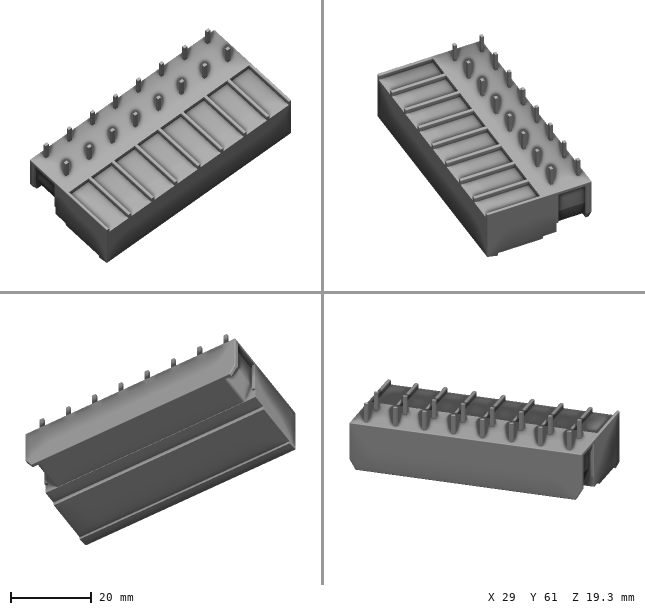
import cadquery as cq
import math

POLE_COUNT = 8
POLE_PITCH = 7.62
LENGTH = POLE_COUNT * POLE_PITCH
DEPTH = 29.0
TOTAL_HEIGHT = 19.29
PIN_LENGTH = 5.0
TOP_Z = TOTAL_HEIGHT - PIN_LENGTH
EDGE_RADIUS = 0.2

PIN_SIDE_BOTTOM_Z = 1.75
MIDDLE_BOTTOM_Z = 1.6
FOOT_BOTTOM_Z = 0.8
FOOT_START_X = 13.4
FOOT_RAMP = 0.3
HOOK_X = 26.0
HOOK_END_Z = 0.65

CHANNEL_X = (0.95, 9.75)
CHANNEL_TOP_Z = 13.4
CHANNEL_DEPTH = 1.36
CHANNEL_BEND_Z = 6.83
CHANNEL_BEND_RADIUS = 0.6
CHANNEL_BOTTOM_DEPTH = 3.1
CHANNEL_FOOT_RADIUS = 0.8
MOUTH_X = (1.35, 9.4)
MOUTH_RADIUS = 0.2
LIP_THICKNESS = 0.75
LIP_BOTTOM_Z = 4.4

BEVEL_TOP_Z = 4.4
BEVEL_WIDTH = 1.6

POCKET_X = 14.0
POCKET_DEPTH = 1.35
POCKET_RIM_RADIUS = 0.28
RIB_WIDTH = 0.94
END_WALL_WIDTH = 0.85

PIN_ROWS_X = (1.92, 9.42)
PIN_SIZE_X = 0.8
PIN_SIZE_Y = 1.0

ARC_OFFSET = 1 - math.sqrt(0.5)


def prism_along_x(points, x_start, x_end):
    """Extrude a (Y, Z) outline between two X positions."""
    return cq.Workplane("YZ", origin=(x_start, 0, 0)).polyline(points).close().extrude(x_end - x_start)


def at_both_ends(solid):
    """Pair a shape at the -Y end with its mirror image at the +Y end."""
    return solid.union(solid.mirror("XZ", (0, LENGTH / 2, 0)))


def make_housing():
    outline = [
        (0, TOP_Z),
        (0, PIN_SIDE_BOTTOM_Z),
        (CHANNEL_X[1], PIN_SIDE_BOTTOM_Z),
        (CHANNEL_X[1], MIDDLE_BOTTOM_Z),
        (FOOT_START_X, MIDDLE_BOTTOM_Z),
        (FOOT_START_X + FOOT_RAMP, FOOT_BOTTOM_Z),
        (HOOK_X, FOOT_BOTTOM_Z),
        (HOOK_X, 0),
        (DEPTH, HOOK_END_Z),
        (DEPTH, TOP_Z),
    ]
    housing = cq.Workplane("XZ").polyline(outline).close().extrude(-LENGTH)
    housing = housing.cut(at_both_ends(make_corner_bevel()))
    front_edges = housing.faces("<X").edges()
    top_end_edges = housing.faces(">Z").edges("|X")
    return front_edges.add(top_end_edges).add(housing.edges("|Z and >X")).fillet(EDGE_RADIUS)


def make_end_channel():
    section = [
        (0, CHANNEL_TOP_Z),
        (CHANNEL_DEPTH, CHANNEL_TOP_Z),
        (CHANNEL_DEPTH, CHANNEL_BEND_Z),
        (CHANNEL_BOTTOM_DEPTH, PIN_SIDE_BOTTOM_Z),
        (0, PIN_SIDE_BOTTOM_Z),
    ]
    bend = cq.NearestToPointSelector((sum(CHANNEL_X) / 2, CHANNEL_DEPTH, CHANNEL_BEND_Z))
    channel = prism_along_x(section, *CHANNEL_X).edges(bend).fillet(CHANNEL_BEND_RADIUS)
    return channel.cut(make_lip_strip(CHANNEL_X[0], MOUTH_X[0])).cut(make_lip_strip(CHANNEL_X[1], MOUTH_X[1]))


def make_lip_strip(wall_x, mouth_x):
    """Lip along one side of the mouth, its outer corner rounded towards the opening."""
    side = math.copysign(1, mouth_x - wall_x)
    inner_x = mouth_x + side * MOUTH_RADIUS
    arc_middle = (inner_x - side * MOUTH_RADIUS * ARC_OFFSET, MOUTH_RADIUS * ARC_OFFSET)
    section = (
        cq.Workplane("XY", origin=(0, 0, LIP_BOTTOM_Z))
        .moveTo(wall_x, 0)
        .lineTo(mouth_x, 0)
        .threePointArc(arc_middle, (inner_x, MOUTH_RADIUS))
        .lineTo(inner_x, LIP_THICKNESS)
        .lineTo(wall_x, LIP_THICKNESS)
        .close()
    )
    return section.extrude(CHANNEL_TOP_Z - LIP_BOTTOM_Z)


def round_channel_feet(housing):
    """Round the lower edge of each channel's sloping back wall."""
    for y in (CHANNEL_BOTTOM_DEPTH, LENGTH - CHANNEL_BOTTOM_DEPTH):
        foot = cq.NearestToPointSelector((sum(CHANNEL_X) / 2, y, PIN_SIDE_BOTTOM_Z))
        housing = housing.edges(foot).fillet(CHANNEL_FOOT_RADIUS)
    return housing


def make_corner_bevel():
    section = [(0, BEVEL_TOP_Z), (BEVEL_WIDTH, PIN_SIDE_BOTTOM_Z), (0, PIN_SIDE_BOTTOM_Z)]
    return prism_along_x(section, 0, CHANNEL_X[0])


def make_pocket(pole):
    y_start = END_WALL_WIDTH if pole == 0 else pole * POLE_PITCH + RIB_WIDTH / 2
    y_end = (pole + 1) * POLE_PITCH - RIB_WIDTH / 2
    if pole == POLE_COUNT - 1:
        y_end = LENGTH - END_WALL_WIDTH
    floor_z = TOP_Z - POCKET_DEPTH
    rim_z = TOP_Z - POCKET_RIM_RADIUS
    rim_offset = POCKET_RIM_RADIUS * ARC_OFFSET
    section = (
        cq.Workplane("YZ", origin=(POCKET_X, 0, 0))
        .moveTo(y_start - POCKET_RIM_RADIUS, TOP_Z)
        .threePointArc((y_start - rim_offset, TOP_Z - rim_offset), (y_start, rim_z))
        .lineTo(y_start, floor_z)
        .lineTo(y_end, floor_z)
        .lineTo(y_end, rim_z)
        .threePointArc((y_end + rim_offset, TOP_Z - rim_offset), (y_end + POCKET_RIM_RADIUS, TOP_Z))
        .close()
    )
    return section.extrude(DEPTH - POCKET_X)


def make_pins():
    centres = [(x, (pole + 0.5) * POLE_PITCH) for pole in range(POLE_COUNT) for x in PIN_ROWS_X]
    plane = cq.Workplane("XY", origin=(0, 0, TOP_Z))
    return plane.pushPoints(centres).rect(PIN_SIZE_X, PIN_SIZE_Y).extrude(PIN_LENGTH)


result = make_housing()
result = result.cut(at_both_ends(make_end_channel()))
result = round_channel_feet(result)
for pole in range(POLE_COUNT):
    result = result.cut(make_pocket(pole))
result = result.union(make_pins())